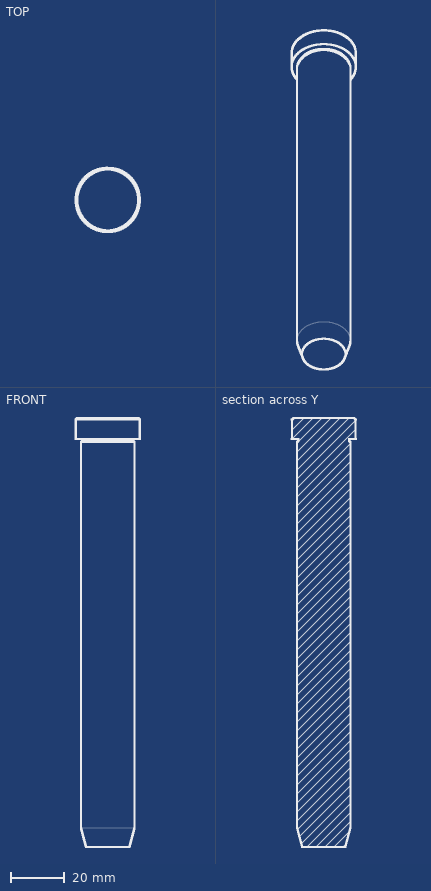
import cadquery as cq
import math

total_length = 160.0
head_diameter = 24.0
head_height = 8.0
head_chamfer = 0.6
shaft_diameter = 20.0
tip_length = 7.0
tip_half_angle = 15.0

groove_width = 1.0
groove_depth = 0.5
groove_runout = 0.3

head_radius = head_diameter / 2
shaft_radius = shaft_diameter / 2
tip_radius = shaft_radius - tip_length * math.tan(math.radians(tip_half_angle))
groove_radius = shaft_radius - groove_depth
head_bottom = total_length - head_height
groove_bottom = head_bottom - groove_width

profile = (
    cq.Workplane("XZ")
    .lineTo(tip_radius, 0)
    .lineTo(shaft_radius, tip_length)
    .lineTo(shaft_radius, groove_bottom)
    .lineTo(groove_radius, groove_bottom + groove_runout)
    .lineTo(groove_radius, head_bottom)
    .lineTo(head_radius, head_bottom)
    .lineTo(head_radius, total_length)
    .lineTo(0, total_length)
    .close()
)
pin = profile.revolve(360, (0, 0, 0), (0, 1, 0))

result = pin.faces(">Z").edges().chamfer(head_chamfer)